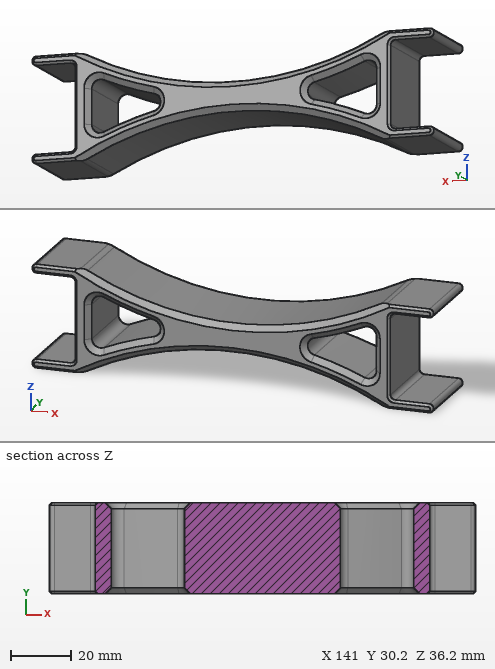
import cadquery as cq
import math

length = 141.0
width = 30.2
height = 36.2

lip_thickness = 3.1
web_face_x = 55.35
fork_corner_radius = 1.7
edge_chamfer = 0.85

ridge_x = 52.6
waist_height = 10.0
ridge_radius = 5.0
arch_chamfer = 2.0

window_back_x = 50.0
window_wall = 5.5
window_corner_radius = 3.0

half_height = height / 2
arch_rise = half_height - waist_height / 2
arch_radius = (ridge_x**2 + arch_rise**2) / (2 * arch_rise)
arch_center_z = waist_height / 2 + arch_radius


def extrude_across(sketch):
    """Extrude an XZ outline over the full width, centred on Y = 0."""
    return sketch.extrude(width / 2, both=True)


def edges_at(body, points):
    """Select the edges along Y that pass through the given (x, z) points."""
    reach = 0.1
    selector = None
    for x, z in points:
        box = cq.selectors.BoxSelector(
            (x - reach, -reach, z - reach), (x + reach, reach, z + reach)
        )
        selector = box if selector is None else selector + box
    return body.edges("|Y").edges(selector)


def four_corners(x, z):
    return [(sx * x, sz * z) for sx in (-1, 1) for sz in (-1, 1)]


def make_forked_beam():
    """Beam with a fork at each end and all of its outline edges lightly chamfered."""
    tip_x = length / 2
    tip_radius = lip_thickness / 2
    lip_end_x = tip_x - tip_radius
    lip_middle_z = half_height - tip_radius
    lip_z = half_height - lip_thickness
    waist_z = waist_height / 2
    outline = (
        cq.Workplane("XZ")
        .moveTo(-lip_end_x, half_height)
        .lineTo(-ridge_x, half_height)
        .threePointArc((0, waist_z), (ridge_x, half_height))
        .lineTo(lip_end_x, half_height)
        .threePointArc((tip_x, lip_middle_z), (lip_end_x, lip_z))
        .lineTo(web_face_x, lip_z)
        .lineTo(web_face_x, -lip_z)
        .lineTo(lip_end_x, -lip_z)
        .threePointArc((tip_x, -lip_middle_z), (lip_end_x, -half_height))
        .lineTo(ridge_x, -half_height)
        .threePointArc((0, -waist_z), (-ridge_x, -half_height))
        .lineTo(-lip_end_x, -half_height)
        .threePointArc((-tip_x, -lip_middle_z), (-lip_end_x, -lip_z))
        .lineTo(-web_face_x, -lip_z)
        .lineTo(-web_face_x, lip_z)
        .lineTo(-lip_end_x, lip_z)
        .threePointArc((-tip_x, lip_middle_z), (-lip_end_x, half_height))
        .close()
    )
    beam = extrude_across(outline)
    beam = edges_at(beam, four_corners(web_face_x, lip_z)).fillet(fork_corner_radius)
    beam = edges_at(beam, four_corners(ridge_x, half_height)).fillet(ridge_radius)
    return beam.faces("<Y or >Y").chamfer(edge_chamfer)


def make_arch_envelope():
    """Tall block hollowed by the two arch circles, with the wide arch chamfers.

    The arches run on past the ridges, so the wide chamfers die out on the lips.
    """
    side_x = length
    end_x = length / 2 + arch_chamfer
    end_z = arch_center_z - math.sqrt(arch_radius**2 - end_x**2)
    waist_z = waist_height / 2
    outline = (
        cq.Workplane("XZ")
        .moveTo(-end_x, end_z)
        .threePointArc((0, waist_z), (end_x, end_z))
        .lineTo(side_x, end_z)
        .lineTo(side_x, -end_z)
        .lineTo(end_x, -end_z)
        .threePointArc((0, -waist_z), (-end_x, -end_z))
        .lineTo(-side_x, -end_z)
        .lineTo(-side_x, end_z)
        .close()
    )
    return extrude_across(outline).faces("<Y or >Y").edges("%CIRCLE").chamfer(arch_chamfer)


def make_window(side):
    """Cutter for one rounded triangular window; side is -1 or +1 along X."""
    curve_radius = arch_radius + window_wall

    def curve_z(x):
        return arch_center_z - math.sqrt(curve_radius**2 - x**2)

    nose_x = math.sqrt(curve_radius**2 - arch_center_z**2)
    back_z = curve_z(window_back_x)
    middle_x = (nose_x + window_back_x) / 2
    middle_z = curve_z(middle_x)

    outline = (
        cq.Workplane("XZ")
        .moveTo(side * window_back_x, -back_z)
        .lineTo(side * window_back_x, back_z)
        .threePointArc((side * middle_x, middle_z), (side * nose_x, 0))
        .threePointArc((side * middle_x, -middle_z), (side * window_back_x, -back_z))
        .close()
    )
    return extrude_across(outline).edges("|Y").fillet(window_corner_radius)


def flare_windows(body):
    """Chamfer the window mouths on both flanks, which are the inner wires there."""
    mouths = []
    for flank in body.faces("<Y or >Y").vals():
        for wire in flank.innerWires():
            mouths.extend(wire.Edges())
    return body.newObject(mouths).chamfer(arch_chamfer)


result = make_forked_beam().intersect(make_arch_envelope())
for side in (-1, 1):
    result = result.cut(make_window(side))
result = flare_windows(result)